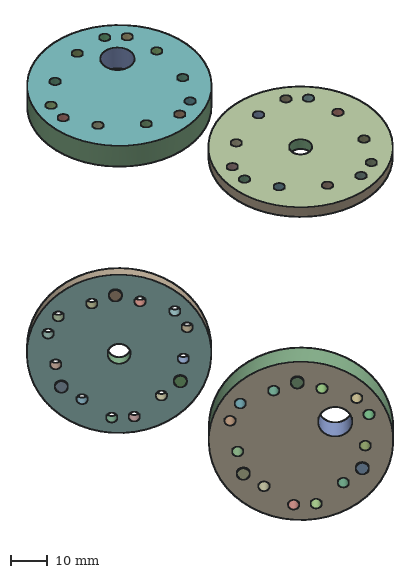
import cadquery as cq
import math

overall_length = 105.2
plate_diameter = 50.0
plate_center_x = (overall_length - plate_diameter) / 2

foot_height = 0.5
thick_total_height = 8.0
thick_plate_height = thick_total_height - foot_height
thin_total_height = thick_total_height / 2
thin_plate_height = thin_total_height - foot_height
top_z = 0.0

sector_count = 3
sector_angle = 360 / sector_count
small_hole_diameter = 3.0
close_pair_distance = 20.0
close_pair_half_spacing = 3.0
wide_pair_radius = 17.5
wide_pair_half_angle = 38.0

foot_diameter = 3.6
foot_radius = 18.6
first_foot_angle = sector_angle / 2

offset_hole_diameter = 9.3
offset_hole_radius = 11.0
offset_hole_angle = sector_angle
center_hole_diameter = 6.2


def polar(radius, angle):
    """Point at a radius and an angle in degrees from the plate center."""
    return (radius * math.cos(math.radians(angle)), radius * math.sin(math.radians(angle)))


def small_hole_points():
    """Centers of the close and wide hole pairs in all sectors."""
    close_radius = math.hypot(close_pair_distance, close_pair_half_spacing)
    close_half_angle = math.degrees(math.atan2(close_pair_half_spacing, close_pair_distance))
    points = []
    for sector in range(sector_count):
        middle_angle = sector * sector_angle
        for side in (-1, 1):
            points.append(polar(close_radius, middle_angle + side * close_half_angle))
            points.append(polar(wide_pair_radius, middle_angle + side * wide_pair_half_angle))
    return points


def foot_points():
    """Centers of the feet, one per sector."""
    return [polar(foot_radius, first_foot_angle + i * sector_angle) for i in range(sector_count)]


def make_plate(height):
    """Round plate with its small through holes and its feet, centered on the Z axis."""
    bottom_z = top_z - height
    plate = cq.Workplane("XY", origin=(0, 0, bottom_z)).circle(plate_diameter / 2).extrude(height)
    feet = (
        cq.Workplane("XY", origin=(0, 0, bottom_z - foot_height))
        .pushPoints(foot_points())
        .circle(foot_diameter / 2)
        .extrude(foot_height)
    )
    return cut_holes(plate.union(feet), small_hole_points(), small_hole_diameter, height)


def cut_holes(plate, points, diameter, height):
    """Cut round holes through the full height of a plate."""
    holes = (
        cq.Workplane("XY", origin=(0, 0, top_z))
        .pushPoints(points)
        .circle(diameter / 2)
        .extrude(-height)
    )
    return plate.cut(holes)


def make_thick_plate():
    """Thick plate with a large hole off its center."""
    hole_point = polar(offset_hole_radius, offset_hole_angle)
    plate = cut_holes(make_plate(thick_plate_height), [hole_point], offset_hole_diameter, thick_plate_height)
    return plate.translate((-plate_center_x, 0, 0))


def make_thin_plate():
    """Thin plate with a hole in its center."""
    plate = cut_holes(make_plate(thin_plate_height), [(0, 0)], center_hole_diameter, thin_plate_height)
    return plate.translate((plate_center_x, 0, 0))


thick_plate = make_thick_plate()
thin_plate = make_thin_plate()

result = cq.Compound.makeCompound([thick_plate.val(), thin_plate.val()])